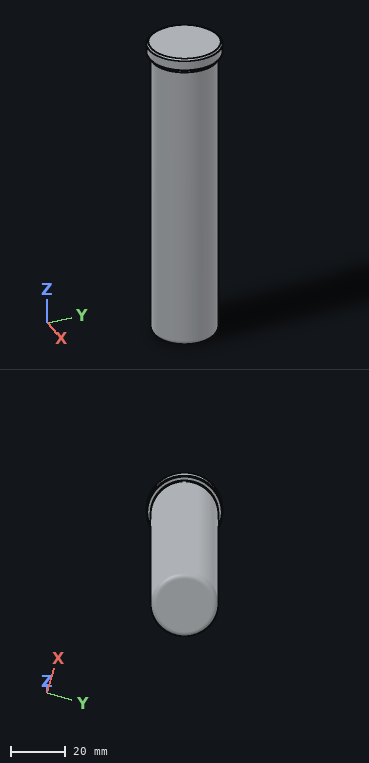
import cadquery as cq

total_length = 120.0
head_diameter = 28.0
head_height = 4.8
top_chamfer = 0.7
underside_chamfer = 0.4
shank_diameter = 25.0
neck_diameter = 24.5
neck_height = 1.5
tip_fillet = 2.2

head_bottom = total_length - head_height
neck_bottom = head_bottom - neck_height


def cylinder(diameter, bottom, height):
    """Upright cylinder on the Z axis, starting at the given height."""
    return cq.Workplane("XY").workplane(offset=bottom).circle(diameter / 2).extrude(height)


shank = cylinder(shank_diameter, 0, neck_bottom)
shank = shank.faces("<Z").edges().fillet(tip_fillet)

neck = cylinder(neck_diameter, neck_bottom, neck_height)

head = cylinder(head_diameter, head_bottom, head_height)
head = head.faces(">Z").edges().chamfer(top_chamfer)
head = head.faces("<Z").edges().chamfer(underside_chamfer)

result = shank.union(neck).union(head)